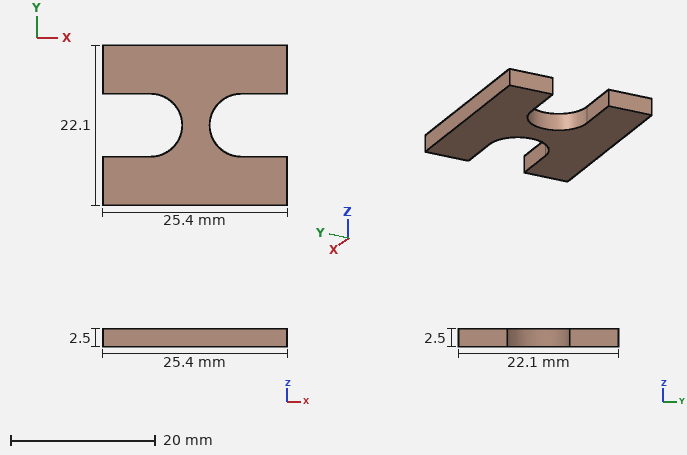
import cadquery as cq

length = 25.4
width = 22.1
thickness = 2.5

slot_width = 8.64
slot_radius = slot_width / 2
left_slot_depth = 10.92
right_slot_depth = 10.67


def end_slot(side, depth):
    """Slot cutter entering from the end at side (-1 or +1) with a full-round bottom."""
    end_x = side * length / 2
    arc_start_x = end_x - side * (depth - slot_radius)
    bottom_x = end_x - side * depth
    return (
        cq.Workplane("XY")
        .moveTo(end_x, -slot_radius)
        .lineTo(arc_start_x, -slot_radius)
        .threePointArc((bottom_x, 0), (arc_start_x, slot_radius))
        .lineTo(end_x, slot_radius)
        .close()
        .extrude(thickness)
    )


plate = cq.Workplane("XY").box(length, width, thickness, centered=(True, True, False))

result = plate.cut(end_slot(-1, left_slot_depth)).cut(end_slot(1, right_slot_depth))